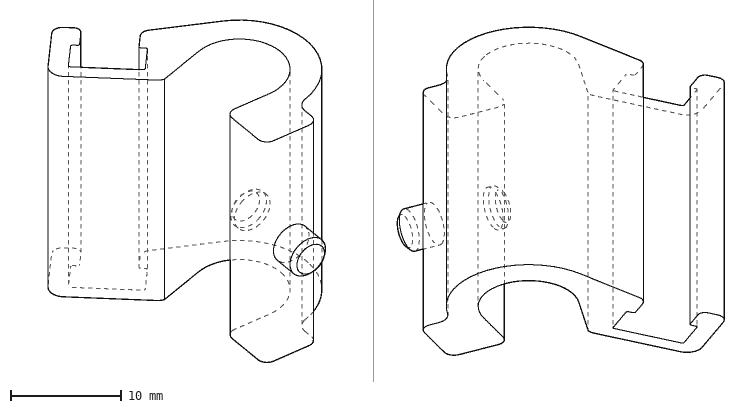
import math

import cadquery as cq

length = 25.0

bore_radius = 4.6
hook_radius = 7.5

block_width = 6.0
block_height = 6.0
block_top = 1.08
block_inner = bore_radius
block_outer = block_inner + block_width
block_bottom = block_top - block_height
block_corner_radius = 1.0
block_root_radius = 1.5

screw_diameter = 4.0
screw_length = 10.0
screw_chamfer = 0.45
screw_tip = 3.6
screw_y = block_top - block_height / 2

outer_flank_angle = 155.5
inner_flank_angle = 197.5

channel_tilt = 50.0
slot_width = 7.0
slot_depth = 3.3
lip_overhang = 0.8
back_thickness = 1.5
floor_thickness = 1.85
slot_top = -8.55
slot_bottom = slot_top - slot_width
lip_top = slot_top - lip_overhang
lip_bottom = slot_bottom + lip_overhang
foot = slot_bottom - floor_thickness
back_inner = -0.65
back_outer = back_inner - back_thickness
lip_inner = back_inner + slot_depth
lip_outer = 5.3

heel_radius = 1.5
toe_radius = 1.0
lip_tip_radius = 0.7
shoulder_radius = 1.0
elbow_radius = 1.4
elbow_end_angle = -10.0
slot_corner_radius = 0.2


def polar(radius, degrees):
    """Point on a circle about the bore axis."""
    angle = math.radians(degrees)
    return (radius * math.cos(angle), radius * math.sin(angle))


def channel_point(along, out):
    """Point given in the tilted coordinates of the channel."""
    along_x, along_y = polar(along, channel_tilt)
    out_x, out_y = polar(out, channel_tilt + 90)
    return (along_x + out_x, along_y + out_y)


def flank_meets_along(radius, degrees, along):
    """Where the tangent of a circle meets a line across the channel."""
    offset = math.radians(degrees - channel_tilt)
    return channel_point(along, (radius - along * math.cos(offset)) / math.sin(offset))


def elbow_arc():
    """Start, middle and end of the arc that leaves the channel back tangentially.

    It stops at a corner with the inner flank, before becoming tangent to it.
    """
    offset = math.radians(inner_flank_angle - channel_tilt)
    centre_out = back_outer + elbow_radius
    end_share = elbow_radius * math.cos(math.radians(inner_flank_angle - elbow_end_angle))
    centre_along = (bore_radius - end_share - centre_out * math.sin(offset)) / math.cos(offset)
    centre = cq.Vector(*channel_point(centre_along, centre_out))
    start_angle = channel_tilt - 90
    middle_angle = (start_angle + elbow_end_angle) / 2
    return [
        (centre + cq.Vector(*polar(elbow_radius, angle))).toTuple()[:2]
        for angle in (start_angle, middle_angle, elbow_end_angle)
    ]


shoulder = flank_meets_along(hook_radius, outer_flank_angle, lip_top)
heel = channel_point(foot, back_outer)
toe = channel_point(foot, lip_outer)
lip_tip = channel_point(lip_bottom, lip_outer)
slot_corners = [
    channel_point(lip_bottom, lip_inner),
    channel_point(slot_bottom, lip_inner),
    channel_point(slot_bottom, back_inner),
    channel_point(slot_top, back_inner),
    channel_point(slot_top, lip_inner),
    channel_point(lip_top, lip_inner),
]
block_root = (math.sqrt(hook_radius**2 - block_top**2), block_top)
block_corners = [
    (block_outer, block_top),
    (block_outer, block_bottom),
    (block_inner, block_bottom),
]


def round_corners(body, corners, radius):
    """Round the lengthwise edges that pass through the given profile points."""
    for x, y in corners:
        edge = cq.selectors.NearestToPointSelector((x, y, length / 2))
        body = body.edges("|Z").edges(edge).fillet(radius)
    return body


def make_clip():
    """Extruded hook, channel and screw block with rounded corners."""
    elbow_start, elbow_middle, elbow_end = elbow_arc()
    profile = (
        cq.Workplane("XY")
        .moveTo(*block_root)
        .threePointArc((0, hook_radius), polar(hook_radius, outer_flank_angle))
        .lineTo(*shoulder)
    )
    for corner in reversed(slot_corners):
        profile = profile.lineTo(*corner)
    profile = (
        profile.lineTo(*lip_tip)
        .lineTo(*toe)
        .lineTo(*heel)
        .lineTo(*elbow_start)
        .threePointArc(elbow_middle, elbow_end)
        .lineTo(*polar(bore_radius, inner_flank_angle))
        .threePointArc((0, bore_radius), (bore_radius, 0))
    )
    for corner in reversed(block_corners):
        profile = profile.lineTo(*corner)
    clip = profile.close().extrude(length)

    clip = round_corners(clip, block_corners, block_corner_radius)
    clip = round_corners(clip, [block_root], block_root_radius)
    clip = round_corners(clip, [shoulder], shoulder_radius)
    clip = round_corners(clip, [heel], heel_radius)
    clip = round_corners(clip, [toe], toe_radius)
    clip = round_corners(clip, [lip_tip], lip_tip_radius)
    return round_corners(clip, slot_corners, slot_corner_radius)


def make_screw():
    """Set screw along X, chamfered at both ends."""
    return (
        cq.Workplane("YZ", origin=(screw_tip, screw_y, length / 2))
        .circle(screw_diameter / 2)
        .extrude(screw_length)
        .faces("<X or >X")
        .chamfer(screw_chamfer)
    )


result = make_clip().union(make_screw())